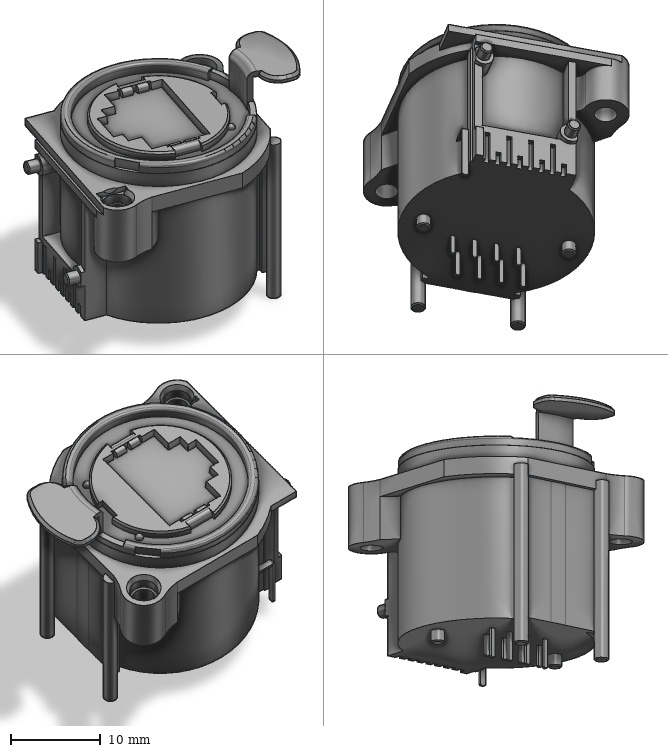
import cadquery as cq
import math

FLANGE_BOTTOM = 16.3
FRONT_STEP_Z = 17.33
FLANGE_TOP = 18.3
COLLAR_TOP = 20.0
RING_TOP = 21.13
RING_FLOOR = 19.85
RING_GAP_TOP = 20.9
LUG_BOTTOM = 11.35

BODY_RADIUS = 11.0
FLANGE_RADIUS = 12.5
FLANGE_HALF = 11.52
LUG_CENTER = 9.9
LUG_RADIUS = FLANGE_RADIUS - LUG_CENTER
LUG_NECK_END = 6.4
LUG_FILLET = 1.4
EAR_HALF_ANGLE = math.radians(60)
EAR_LEFT = (-FLANGE_RADIUS, LUG_CENTER)
EAR_TIP = (-LUG_CENTER - LUG_RADIUS * math.sqrt(0.5), LUG_CENTER + LUG_RADIUS * math.sqrt(0.5))
NECK_HOLLOW = 0.1
LUG_FOOT = math.sqrt(BODY_RADIUS**2 - LUG_CENTER**2)
SCREW_HOLE_RADIUS = 1.27
SCREW_RECESS_RADIUS = 1.6
SCREW_RECESS_DEPTH = 1.8
SCREW_MOUTH_RADIUS = 1.92
SCREW_MOUTH_DEPTH = 0.65
SIDE_SLOT_X = 8.2
SIDE_SLOT_LENGTH = 3.6
SIDE_SLOT_WIDTH = 0.65
SIDE_SLOT_DEPTH = 0.65
PLATE_LEFT = -9.05
PLATE_BACK = -7.0
PLATE_FRONT = -12.2

FRONT_FACE = -12.0
BOSS_FACE = -12.5
FRAME_LEFT = -5.95
FRAME_RIGHT = 5.85
FRAME_RIB_LEFT = -6.2
FRAME_RIB_FRONT = -11.2
FRAME_RIB_BACK = -9.93
STEP_RIGHT = 9.83
WINDOW_LEFT = -5.06
WINDOW_RIGHT = 4.97
WINDOW_BOTTOM = 4.8
CORNER_BLOCK_TOP = 4.07
PIN_PITCH = 2.54
PINS_PER_ROW = 4
SHORT_PIN_START = -1.75 * PIN_PITCH
LONG_PIN_START = SHORT_PIN_START + PIN_PITCH / 2
SLOT_WIDTH = 0.56
SLOT_DEPTH = 0.6
TALL_SLOT_TOP = 3.87
SHORT_SLOT_TOP = 1.3
STUD_X = 5.08
UPPER_STUD_Z = 14.5
LOWER_STUD_Z = 5.61
STUD_BASE_RADIUS = 1.22
STUD_RADIUS = 0.75
STUD_TIP = -14.02
TIP_CHAMFER = 0.15

RING_OUTER = 10.95
RING_INNER = 9.8
RING_GAP_INNER = 10.23
RING_ROUND = 0.35
RING_GAP_HALF_ANGLE = 30.0
RING_FLAT_DISTANCE = 10.6
RING_FLAT_LENGTH = 2.9
INSERT_RADIUS = 7.95
INSERT_TOP = 20.8
INSERT_CHAMFER = 0.22
KEY_WIDTH = 2.65
KEY_EDGE = 7.13
LATCH_INNER = 6.75
LATCH_OUTER = 7.4
LATCH_LENGTH = 3.3
NUB_X = 4.8
NUB_Y = 6.65
NUB_RADIUS = 0.5
JACK_DEPTH = 1.45
JACK_DRAFT_ANGLE = 7.5
JACK_TOP = 3.4
JACK_HALF = 6.1
JACK_SHOULDER = -3.78
JACK_MID_HALF = 3.48
JACK_MID = -5.44
JACK_TAB_HALF = 2.05
JACK_BOTTOM = -6.59
CONTACT_SLOT_HALF = 6.45
CONTACT_SLOT_LENGTH = 4.0
CONTACT_Y = 0.98
CONTACT_LENGTH = 1.35
CONTACT_RADIUS = 0.53
CONTACT_X = 6.3
CONTACT_Z = INSERT_TOP - 0.55

PIN_BOTTOM = -3.37
POST_X = 5.8
POST_Y = 11.47
POST_RADIUS = 0.82
PEG_X = 8.45
PEG_RADIUS = 0.78
PEG_BOTTOM = -1.4
BACK_HALF = 5.05
BACK_FACE = 10.95
BACK_RIB_HALF = 5.7
BACK_RIB_Y = 10.1
CONTACT_PIN_WIDTH = 0.5
CONTACT_PIN_THICKNESS = 0.33
LONG_PIN_Y = 4.72
SHORT_PIN_Y = LONG_PIN_Y - PIN_PITCH
SHORT_PIN_BOTTOM = -2.5
EARTH_LEFT = -7.03
EARTH_WIDTH = 0.75
EARTH_FRONT = -10.74
EARTH_BACK = -8.4
EARTH_THICKNESS = 0.3
EARTH_TOP = 5.07
EARTH_BOTTOM = -1.68

LEVER_TOP = 24.89
LEVER_THICKNESS = 0.75
LEVER_EDGE = 0.35
LEG_ANGLE = 26.6
LEG_OUTER_RADIUS = 10.82
LEG_INNER_RADIUS = 10.1
BEND_RADIUS = 1.1
TAB_INNER_Y = 11.15
TAB_INNER_CORNER = 2.4
TAB_OUTER_CORNER = 1.4
TAB_TIP_RADIUS = 9.2
TAB_HALF = 5.03
TAB_OUTER_Y = 16.52


def box(x0, x1, y0, y1, z0, z1):
    return cq.Workplane("XY").box(x1 - x0, y1 - y0, z1 - z0, centered=False).translate((x0, y0, z0))


def cylinder(radius, z0, z1, x=0.0, y=0.0):
    return cq.Workplane("XY").workplane(offset=z0).center(x, y).circle(radius).extrude(z1 - z0)


def lug_side(half_angle):
    """Points on the upper-left lug's left side: the ear's end and the middle of its hollow neck."""
    ear = (-LUG_CENTER - LUG_RADIUS * math.sin(half_angle), LUG_CENTER - LUG_RADIUS * math.cos(half_angle))
    neck_middle = ((ear[0] - FLANGE_HALF) / 2 + NECK_HOLLOW, (ear[1] + LUG_NECK_END) / 2)
    return ear, neck_middle


def swap_sides(point):
    """Mirror a point across the diagonal through the upper-left lug."""
    return (-point[1], -point[0])


def lug_start(z):
    """Outline of the upper-left lug from the body around the left neck to the ear's tip."""
    ear, neck_middle = lug_side(EAR_HALF_ANGLE)
    return (
        cq.Workplane("XY").workplane(offset=z)
        .moveTo(-LUG_CENTER, LUG_FOOT)
        .lineTo(-FLANGE_HALF, LUG_NECK_END)
        .threePointArc(neck_middle, ear)
        .threePointArc(EAR_LEFT, EAR_TIP)
    )


def necked_lug(z0, z1):
    """Lug with a hollow neck on both sides."""
    ear, neck_middle = lug_side(EAR_HALF_ANGLE)
    return (
        lug_start(z0)
        .threePointArc(swap_sides(EAR_LEFT), swap_sides(ear))
        .threePointArc(swap_sides(neck_middle), (-LUG_NECK_END, FLANGE_HALF))
        .lineTo(-LUG_FOOT, LUG_CENTER)
        .close()
        .extrude(z1 - z0)
    )


def filleted_lug(z0, z1):
    """Lug whose second side stays round and meets the body in a concave fillet."""
    lug_distance = LUG_CENTER * math.sqrt(2)
    to_body = BODY_RADIUS + LUG_FILLET
    to_lug = LUG_RADIUS + LUG_FILLET
    along = (to_body**2 - to_lug**2 + lug_distance**2) / (2 * lug_distance)
    across = math.sqrt(to_body**2 - along**2)
    center_x = (across - along) * math.sqrt(0.5)
    center_y = (across + along) * math.sqrt(0.5)
    body_share = BODY_RADIUS / to_body
    on_body = (center_x * body_share, center_y * body_share)
    lug_share = LUG_RADIUS / to_lug
    on_lug = (
        -LUG_CENTER + (center_x + LUG_CENTER) * lug_share,
        LUG_CENTER + (center_y - LUG_CENTER) * lug_share,
    )
    top = (-LUG_CENTER, LUG_CENTER + LUG_RADIUS)
    return (
        lug_start(z0)
        .threePointArc(top, on_lug)
        .radiusArc(on_body, -LUG_FILLET)
        .close()
        .extrude(z1 - z0)
    )


def half_turn(part):
    return part.rotate((0, 0, 0), (0, 0, 1), 180)


def make_flange():
    disc = cylinder(FLANGE_RADIUS, FLANGE_BOTTOM, FLANGE_TOP)
    square = box(-FLANGE_HALF, FLANGE_HALF, -FLANGE_HALF, FLANGE_HALF, FLANGE_BOTTOM, FLANGE_TOP)
    rear_lug = necked_lug(LUG_BOTTOM, FLANGE_TOP)
    front_lug = filleted_lug(LUG_BOTTOM, FLANGE_TOP)
    rear_corner = box(-FLANGE_HALF, 0, 0, LUG_NECK_END, FLANGE_BOTTOM, FLANGE_TOP).union(
        box(-LUG_NECK_END, 0, 0, FLANGE_HALF, FLANGE_BOTTOM, FLANGE_TOP)
    )
    corners = rear_corner.union(half_turn(rear_corner))
    plate = box(PLATE_LEFT, LUG_CENTER, PLATE_FRONT, PLATE_BACK, FRONT_STEP_Z, FLANGE_TOP)
    step = box(FRAME_LEFT, STEP_RIGHT, BOSS_FACE, PLATE_BACK, FLANGE_BOTTOM, FRONT_STEP_Z)
    trim = box(0, FLANGE_RADIUS, BOSS_FACE, PLATE_FRONT, FRONT_STEP_Z, FLANGE_TOP)
    flange = disc.intersect(square).union(corners).union(rear_lug).union(half_turn(front_lug))
    return flange.union(plate).union(step).cut(trim)


def make_screw_hole():
    hole = cylinder(SCREW_HOLE_RADIUS, LUG_BOTTOM, FLANGE_TOP, -LUG_CENTER, LUG_CENTER)
    recess = cylinder(
        SCREW_RECESS_RADIUS, FLANGE_TOP - SCREW_RECESS_DEPTH, FLANGE_TOP, -LUG_CENTER, LUG_CENTER
    )
    mouth = cq.Workplane("XY").add(
        cq.Solid.makeCone(
            SCREW_RECESS_RADIUS, SCREW_MOUTH_RADIUS, SCREW_MOUTH_DEPTH,
            cq.Vector(-LUG_CENTER, LUG_CENTER, FLANGE_TOP - SCREW_MOUTH_DEPTH),
        )
    )
    return hole.union(recess).union(mouth)


def make_side_slot():
    """Shallow rectangular recess on the body side of the front screw hole."""
    half = SIDE_SLOT_LENGTH / 2
    return box(
        SIDE_SLOT_X, SIDE_SLOT_X + SIDE_SLOT_WIDTH, -LUG_CENTER - half, -LUG_CENTER + half,
        FLANGE_TOP - SIDE_SLOT_DEPTH, FLANGE_TOP,
    )


def make_front_frame():
    frame = box(FRAME_LEFT, FRAME_RIGHT, FRONT_FACE, 0, 0, FLANGE_BOTTOM)
    frame = frame.union(box(FRAME_RIB_LEFT, FRAME_LEFT, FRAME_RIB_FRONT, FRAME_RIB_BACK, 0, FLANGE_BOTTOM))
    frame = frame.cut(box(WINDOW_LEFT, WINDOW_RIGHT, FRONT_FACE, 0, WINDOW_BOTTOM, FLANGE_BOTTOM))
    frame = frame.union(cylinder(BODY_RADIUS, 0, FLANGE_BOTTOM))
    return frame.union(box(FRAME_LEFT, WINDOW_LEFT, BOSS_FACE, FRONT_FACE, 0, CORNER_BLOCK_TOP))


def make_stud(x, z):
    def rod(radius, y_tip):
        return cq.Workplane("XZ").center(x, z).circle(radius).extrude(-y_tip)

    frame_width = box(FRAME_LEFT, FRAME_RIGHT, BOSS_FACE, 0, 0, FLANGE_TOP)
    base = rod(STUD_BASE_RADIUS, BOSS_FACE).intersect(frame_width)
    return base.union(rod(STUD_RADIUS, STUD_TIP).faces("<Y").chamfer(TIP_CHAMFER))


def make_comb_slots():
    """Upright slots in the frame's lower bar, one in front of each contact pin."""
    slots = cq.Workplane("XY")
    for row_start, top in ((SHORT_PIN_START, TALL_SLOT_TOP), (LONG_PIN_START, SHORT_SLOT_TOP)):
        for i in range(PINS_PER_ROW):
            x = row_start + i * PIN_PITCH
            left = x - SLOT_WIDTH / 2
            slots = slots.union(box(left, left + SLOT_WIDTH, FRONT_FACE, FRONT_FACE + SLOT_DEPTH, 0, top))
    return slots


def make_ring():
    ring = cylinder(BODY_RADIUS, FLANGE_TOP, COLLAR_TOP)
    ring = ring.union(cylinder(RING_OUTER, COLLAR_TOP, RING_TOP))
    ring = ring.cut(cylinder(RING_INNER, RING_FLOOR, RING_TOP))
    ring = ring.faces(">Z").edges().fillet(RING_ROUND)
    reach = 2 * BODY_RADIUS
    side = reach * math.tan(math.radians(RING_GAP_HALF_ANGLE))
    sector = (
        cq.Workplane("XY").workplane(offset=RING_FLOOR)
        .polyline([(0, 0), (side, reach), (-side, reach)]).close()
        .extrude(RING_TOP - RING_FLOOR)
    )
    gap = cylinder(reach, RING_GAP_TOP, RING_TOP).union(cylinder(RING_GAP_INNER, RING_FLOOR, RING_TOP))
    ring = ring.cut(gap.intersect(sector))
    for angle in (135, 315):
        flat = box(
            RING_FLAT_DISTANCE, BODY_RADIUS, -RING_FLAT_LENGTH / 2, RING_FLAT_LENGTH / 2,
            COLLAR_TOP, RING_TOP,
        )
        ring = ring.cut(flat.rotate((0, 0, 0), (0, 0, 1), angle))
    return ring


def make_jack_cavity():
    """Stepped modular-jack opening with drafted walls and a contact slot at each side."""
    right = [
        (JACK_HALF, JACK_TOP), (JACK_HALF, JACK_SHOULDER), (JACK_MID_HALF, JACK_SHOULDER),
        (JACK_MID_HALF, JACK_MID), (JACK_TAB_HALF, JACK_MID), (JACK_TAB_HALF, JACK_BOTTOM),
    ]
    left = [(-x, y) for x, y in reversed(right)]
    outline = cq.Workplane("XY").workplane(offset=INSERT_TOP).polyline(right + left).close()
    cavity = outline.extrude(-JACK_DEPTH, taper=JACK_DRAFT_ANGLE)
    return cavity.union(
        box(
            -CONTACT_SLOT_HALF, CONTACT_SLOT_HALF, -CONTACT_SLOT_LENGTH / 2, CONTACT_SLOT_LENGTH / 2,
            INSERT_TOP - JACK_DEPTH, INSERT_TOP,
        )
    )


def make_insert():
    insert = cylinder(INSERT_RADIUS, RING_FLOOR, INSERT_TOP).faces(">Z").chamfer(INSERT_CHAMFER)
    insert = insert.cut(
        box(-KEY_WIDTH / 2, KEY_WIDTH / 2, KEY_EDGE, BODY_RADIUS, RING_FLOOR, INSERT_TOP)
    )
    insert = insert.cut(make_jack_cavity())
    for side in (-1, 1):
        clearance = cq.Workplane("XY").box(1, LATCH_LENGTH, INSERT_TOP).translate(
            (side * (LATCH_OUTER + 0.5), 0, RING_FLOOR + INSERT_TOP / 2)
        )
        insert = insert.cut(clearance)
        latch_edge = insert.edges(cq.selectors.NearestToPointSelector((side * LATCH_OUTER, 0, INSERT_TOP)))
        insert = latch_edge.fillet(LATCH_OUTER - LATCH_INNER)
        for end in (-1, 1):
            contact = (
                cq.Workplane("XZ").center(side * CONTACT_X, CONTACT_Z)
                .circle(CONTACT_RADIUS).extrude(CONTACT_LENGTH / 2, both=True)
                .translate((0, end * CONTACT_Y, 0))
            )
            insert = insert.union(contact)
        nub = cq.Workplane("XY").sphere(NUB_RADIUS).translate((side * NUB_X, NUB_Y, RING_FLOOR))
        insert = insert.union(nub)
    return insert


def make_bottom_pins():
    pins = cq.Workplane("XY")
    for side in (-1, 1):
        post = cylinder(POST_RADIUS, PIN_BOTTOM, FLANGE_TOP - 1, side * POST_X, POST_Y)
        peg = cylinder(PEG_RADIUS, PEG_BOTTOM, 1, side * PEG_X, 0)
        pins = pins.union(post.faces("<Z").chamfer(TIP_CHAMFER))
        pins = pins.union(peg.faces("<Z").chamfer(TIP_CHAMFER))
    return pins


def make_contact_pin(x, y, bottom):
    left = x - CONTACT_PIN_WIDTH / 2
    back = y + CONTACT_PIN_THICKNESS / 2
    pin = box(left, left + CONTACT_PIN_WIDTH, back - CONTACT_PIN_THICKNESS, back, bottom, 1)
    return pin.faces("<Z").edges("|Y").chamfer(TIP_CHAMFER)


def make_contact_pins():
    pins = cq.Workplane("XY")
    for i in range(PINS_PER_ROW):
        shift = i * PIN_PITCH
        pins = pins.union(make_contact_pin(SHORT_PIN_START + shift, SHORT_PIN_Y, SHORT_PIN_BOTTOM))
        pins = pins.union(make_contact_pin(LONG_PIN_START + shift, LONG_PIN_Y, PIN_BOTTOM))
    return pins


def make_earth_pin():
    """Flat strip that leaves the body near the front frame and bends straight down."""
    right = EARTH_LEFT + EARTH_WIDTH
    bar = box(EARTH_LEFT, right, EARTH_FRONT, EARTH_BACK, EARTH_TOP - EARTH_THICKNESS, EARTH_TOP)
    leg = box(EARTH_LEFT, right, EARTH_FRONT, EARTH_FRONT + EARTH_THICKNESS, EARTH_BOTTOM, EARTH_TOP)
    leg = leg.faces("<Z").edges("|Y").chamfer(TIP_CHAMFER)
    pin = bar.union(leg)
    return pin.edges("|X").edges(">Z").edges("<Y").fillet(EARTH_THICKNESS)


def make_lever():
    """Push lever: a curved leg rising from the ring's gap and bent outward into a rounded tab."""
    underside = LEVER_TOP - LEVER_THICKNESS
    tab = box(-TAB_HALF, TAB_HALF, TAB_INNER_Y, TAB_OUTER_Y, underside, LEVER_TOP)
    tab = tab.intersect(
        cylinder(TAB_TIP_RADIUS, underside, LEVER_TOP, 0, TAB_OUTER_Y - TAB_TIP_RADIUS)
    )
    tab = tab.edges("|Z").edges("<Y").fillet(TAB_INNER_CORNER)
    tab = tab.edges("|Z").edges(">Y").fillet(TAB_OUTER_CORNER)
    tab = tab.faces(">Z").chamfer(LEVER_EDGE)
    reach = TAB_INNER_Y + 2 * LEVER_EDGE
    foot = RING_FLOOR - LEVER_THICKNESS
    leg = (
        cq.Workplane("XZ")
        .moveTo(LEG_INNER_RADIUS, foot)
        .lineTo(LEG_INNER_RADIUS, LEVER_TOP - BEND_RADIUS)
        .radiusArc((LEG_INNER_RADIUS + BEND_RADIUS, LEVER_TOP), BEND_RADIUS)
        .lineTo(reach, LEVER_TOP)
        .lineTo(reach, underside)
        .lineTo(LEG_OUTER_RADIUS, underside)
        .lineTo(LEG_OUTER_RADIUS, foot)
        .close()
        .revolve(LEG_ANGLE, (0, 0, 0), (0, -1, 0))
        .rotate((0, 0, 0), (0, 0, 1), 90 + LEG_ANGLE / 2)
    )
    return tab.union(leg)


result = cylinder(BODY_RADIUS, 0, FLANGE_TOP)
result = result.union(box(-BACK_HALF, BACK_HALF, 0, BACK_FACE, 0, FLANGE_BOTTOM))
result = result.union(box(-BACK_RIB_HALF, BACK_RIB_HALF, BACK_RIB_Y, BACK_FACE, 0, FLANGE_BOTTOM))
result = result.union(make_front_frame()).cut(make_comb_slots())
result = result.union(make_bottom_pins()).union(make_contact_pins()).union(make_earth_pin())
result = result.union(make_flange())
screw_hole = make_screw_hole()
result = result.cut(screw_hole).cut(half_turn(screw_hole)).cut(make_side_slot())
result = result.union(make_stud(-STUD_X, UPPER_STUD_Z)).union(make_stud(STUD_X, LOWER_STUD_Z))
result = result.union(make_ring()).union(make_insert()).union(make_lever())